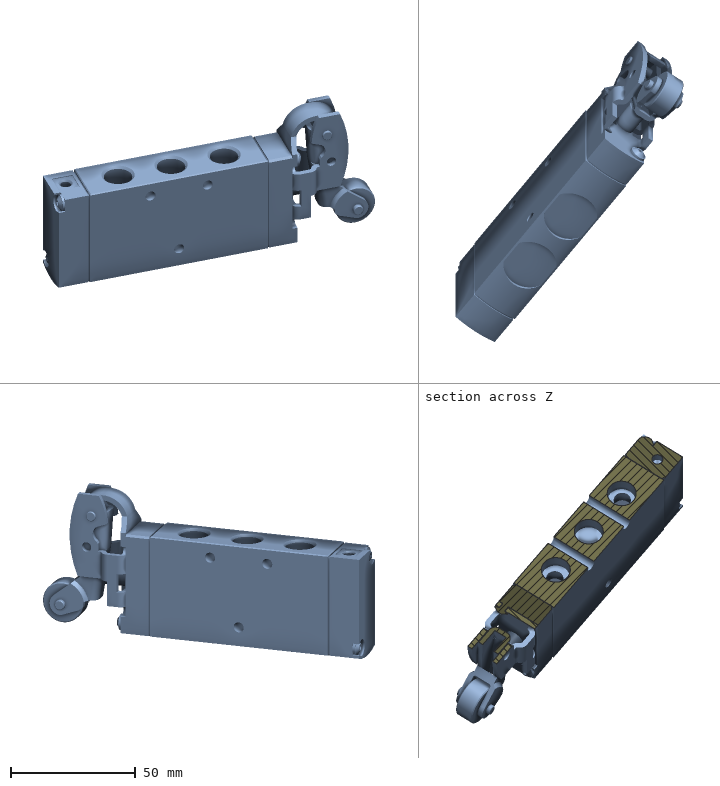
import cadquery as cq
import math


BODY_WIDTH = 20.0
BODY_TOP = 43.8
BODY_FRONT_Y = 20.4
BODY_BACK_Y = -54.8
BODY_CHAMFER = 0.4
CROWN_HEIGHT = 1.8
PORT_PITCH = 22.5
PORT_MIDDLE_Y = -17.1
PORT_DIAMETER = 11.4
PORT_RIM_DIAMETER = 13.3
PORT_DEPTH = 10.9
INNER_BORE_DIAMETER = 7.0
INNER_BORE_SHIFT = 0.5
INNER_BORE_DEPTH = 5.5
MOUNT_HOLE_DIAMETER = 4.2
MOUNT_HOLE_PITCH = 24.2
UPPER_MOUNT_Z = 37.7
LOWER_MOUNT_Z = 9.7
SPOTFACE_DIAMETER = 21.2
SPOTFACE_PITCH = 27.5
SPOTFACE_Z = 1.5

CAP_WIDTH = 19.5
CAP_TOP = 43.4
CAP_GAP = 0.7
NECK_INSET = 0.5
FRONT_CAP_Y = 30.9
FRONT_CAP_CHAMFER = 0.8
END_CAP_Y = -68.0
SCREW_X = 6.4
UPPER_SCREW_Z = 40.1
LOWER_SCREW_Z = 5.5
SCREW_PLACES = [(SCREW_X, UPPER_SCREW_Z), (-SCREW_X, LOWER_SCREW_Z)]
SCREW_RECESS_DIAMETER = 7.0
SCREW_RECESS_DEPTH = 2.7
RECESS_OPENING = 4.9
LABEL_SIZE = 8.7
LABEL_DEPTH = 0.3
LABEL_X = -2.0
LABEL_Y = -61.1
PILOT_DIAMETER = 4.2
PILOT_RIM_DIAMETER = 5.6
PILOT_DEPTH = 8.2

FLANGE_DIAMETER = 6.8
FLANGE_HEIGHT = 1.0
HEAD_DIAMETER = 6.0
HEAD_TIP_DIAMETER = 3.1
HEAD_HEIGHT = 1.2
SOCKET_WIDTH = 2.0
SOCKET_DEPTH = 1.1
SHANK_DIAMETER = 4.1
SHANK_LENGTH = 4.4

PLUNGER_DIAMETER = 8.0
PLUNGER_Z = 22.7
PLUNGER_END_Y = 42.3

SHEET = 2.2
PLATE_FRONT_Y = FRONT_CAP_Y + SHEET
FLARE_BOTTOM_Z = 44.1
FLARE_TOP_Z = 49.5
LEG_X = BODY_WIDTH / 2
LEG_BOTTOM_Z = 12.7
LEG_TOP_Z = 34.3
LEG_BEND = 3.3
JOGGLE_START_Y = 38.6
JOGGLE_END_Y = 42.9
CHEEK_X = 7.2
CHEEK_BOTTOM_Z = 23.0
CHEEK_TOP_Z = 57.7
CHEEK_FRONT_ARC = [(52.1, CHEEK_BOTTOM_Z), (55.5, 41.4), (52.0, CHEEK_TOP_Z)]
CHEEK_BACK_ARC = [(43.1, CHEEK_TOP_Z), (41.1, 53.1), (40.1, 48.5)]
CHEEK_BACK_CORNER = (39.9, 46.1)
CHEEK_NOTCH_ARC = [(44.1, 44.5), (45.7, 41.5), (44.1, 38.4)]
CHEEK_SHOULDER_Y = 43.5
CHEEK_SHOULDER_Z = 37.4
CHEEK_HOLE_DIAMETER = 4.0
CHEEK_HOLE_Y = 48.3
CHEEK_HOLE_Z = 35.7
RELIEF_DIAMETER = 4.0
RELIEF_X = 8.2
WINDOW_HEIGHT = 7.6
WINDOW_FRONT_Y = 34.5
WINDOW_INNER_X = PLUNGER_DIAMETER / 2
STRAP_TOP_Z = 57.4
STRAP_FLAT_BACK_Y = 42.0
STRAP_FLAT_FRONT_Y = 44.1
STRAP_FRONT_RADIUS = 9.8
STRAP_BACK_RADIUS = 10.5
STRAP_LEAN = 15.0
STRAP_LEAN_LENGTH = 1.6

PIN_DIAMETER = 4.1
PIN_LENGTH = 16.0
PIN_CHAMFER = 0.3
PIVOT_Y = 46.4
PIVOT_Z = 48.9
LEVER_WIDTH = 9.8
LEVER_BEND = 3.0
LEVER_OVERLAP = 0.4
LEVER_HEAD_RADIUS = 4.6
LEVER_BACK_BOTTOM = (44.6, 12.5)
LEVER_BACK_KINK = (41.2, 34.0)
LEVER_BACK_TOP = (40.1, 50.2)
ARM_X = 6.4
ARM_TIP_RADIUS = 4.6
ARM_HEEL = [(52.0, 8.3), (50.2, 9.7), (50.0, 12.0)]
ARM_DISH_RADIUS = 10.1
ARM_RIM_RADIUS = 11.4
LEVER_REACH = 54.5
LEVER_FRONT_TOP = (51.9, 22.0)
LEVER_FRONT_BOTTOM = (62.6, 13.6)
BRIDGE_END_Y = 55.0
BRIDGE_THICKNESS = 1.1
ROLLER_DIAMETER = 16.9
ROLLER_WIDTH = 7.9
ROLLER_Y = 59.6
ROLLER_Z = 10.1
ROLLER_CHAMFER = 0.4


def crowned_prism(width, top_z, back_y, front_y, inset=0.0):
    """A block along Y with a flat top, flat sides and a crowned underside."""
    half = width / 2 - inset
    outline = (
        cq.Workplane("XZ", origin=(0, front_y, 0))
        .moveTo(-half, top_z - inset)
        .lineTo(-half, CROWN_HEIGHT + inset)
        .threePointArc((0, inset), (half, CROWN_HEIGHT + inset))
        .lineTo(half, top_z - inset)
        .close()
    )
    return outline.extrude(front_y - back_y)


def rod_y(x, z, start_y, end_y, diameter):
    """A round bar along Y."""
    return (
        cq.Workplane("XZ", origin=(x, start_y, z))
        .circle(diameter / 2)
        .extrude(start_y - end_y)
    )


def bar_x(y, z, length, diameter):
    """A round bar along X, centred on the middle plane."""
    return (
        cq.Workplane("YZ", origin=(-length / 2, y, z))
        .circle(diameter / 2)
        .extrude(length)
    )


def mirrored(shape):
    """The shape together with its copy across the middle plane."""
    return shape.union(shape.mirror("YZ"))


def port(y, top_z, x, diameter, rim_diameter, depth):
    """Cutter for a vertical port with a countersunk rim."""
    rim = (rim_diameter - diameter) / 2
    return (
        cq.Workplane("XZ", origin=(x, y, top_z))
        .lineTo(rim_diameter / 2, 0)
        .lineTo(diameter / 2, -rim)
        .lineTo(diameter / 2, -depth)
        .lineTo(0, -depth)
        .close()
        .revolve(360, (0, 0, 0), (0, 1, 0))
    )


def screw(x, z, seat_y, direction):
    """Flanged screw on a seat; direction is +1 when the head faces +Y, -1 when it faces -Y."""
    head_y = FLANGE_HEIGHT
    tip_y = head_y + HEAD_HEIGHT
    turned = (
        cq.Workplane("XY")
        .moveTo(0, -SHANK_LENGTH)
        .lineTo(SHANK_DIAMETER / 2, -SHANK_LENGTH)
        .lineTo(SHANK_DIAMETER / 2, 0)
        .lineTo(FLANGE_DIAMETER / 2, 0)
        .lineTo(FLANGE_DIAMETER / 2, head_y)
        .lineTo(HEAD_DIAMETER / 2, head_y)
        .lineTo(HEAD_TIP_DIAMETER / 2, tip_y)
        .lineTo(0, tip_y)
        .close()
        .revolve(360, (0, 0, 0), (0, 1, 0))
    )
    socket = cq.Workplane("XZ", origin=(0, tip_y, 0)).polygon(6, SOCKET_WIDTH).extrude(SOCKET_DEPTH)
    finished = turned.cut(socket)
    if direction < 0:
        finished = finished.mirror("XZ")
    return finished.translate((x, seat_y, z))


def make_body():
    """Body with its three top ports, mounting holes and the two flats on the underside."""
    body = crowned_prism(BODY_WIDTH, BODY_TOP, BODY_BACK_Y, BODY_FRONT_Y)
    body = body.faces(">Z").chamfer(BODY_CHAMFER)
    for side in (-1, 0, 1):
        port_y = PORT_MIDDLE_Y + side * PORT_PITCH
        body = body.cut(port(port_y, BODY_TOP, 0, PORT_DIAMETER, PORT_RIM_DIAMETER, PORT_DEPTH))
        if side != 0:
            bore = (
                cq.Workplane("XY", origin=(0, port_y + side * INNER_BORE_SHIFT, BODY_TOP - PORT_DEPTH))
                .circle(INNER_BORE_DIAMETER / 2)
                .extrude(-INNER_BORE_DEPTH)
            )
            body = body.cut(bore)
    mount_places = [
        (PORT_MIDDLE_Y - MOUNT_HOLE_PITCH / 2, UPPER_MOUNT_Z),
        (PORT_MIDDLE_Y + MOUNT_HOLE_PITCH / 2, UPPER_MOUNT_Z),
        (PORT_MIDDLE_Y, LOWER_MOUNT_Z),
    ]
    for y, z in mount_places:
        body = body.cut(bar_x(y, z, BODY_WIDTH, MOUNT_HOLE_DIAMETER))
    for side in (-1, 1):
        spotface = (
            cq.Workplane("XY", origin=(0, PORT_MIDDLE_Y + side * SPOTFACE_PITCH / 2, 0))
            .circle(SPOTFACE_DIAMETER / 2)
            .extrude(SPOTFACE_Z)
        )
        body = body.cut(spotface)
    return body


def screw_recess(x, z, seat_y):
    """Cutter for a screw seat in the end cap, open to the side and, if near it, to the top."""
    side = math.copysign(1, x)
    recess = rod_y(x, z, END_CAP_Y, seat_y, SCREW_RECESS_DIAMETER)
    bottom_z = z - RECESS_OPENING / 2
    near_top = z + SCREW_RECESS_DIAMETER / 2 > CAP_TOP
    top_z = CAP_TOP if near_top else z + RECESS_OPENING / 2
    inner_x = x - side * RECESS_OPENING / 2
    opening = (
        cq.Workplane("XZ", origin=(0, END_CAP_Y, 0))
        .moveTo(inner_x, bottom_z)
        .lineTo(side * CAP_WIDTH / 2, bottom_z)
        .lineTo(side * CAP_WIDTH / 2, top_z)
        .lineTo(inner_x, top_z)
        .close()
        .extrude(-SCREW_RECESS_DEPTH)
    )
    return recess.union(opening)


def make_end_cap():
    """End cap with its pilot port and its two screws."""
    shoulder_y = BODY_BACK_Y - CAP_GAP
    cap = crowned_prism(CAP_WIDTH, CAP_TOP, END_CAP_Y, shoulder_y)
    cap = cap.union(crowned_prism(CAP_WIDTH, CAP_TOP, shoulder_y, BODY_BACK_Y, NECK_INSET))
    label = (
        cq.Workplane("XY", origin=(LABEL_X, LABEL_Y, CAP_TOP))
        .rect(LABEL_SIZE, LABEL_SIZE)
        .extrude(-LABEL_DEPTH)
    )
    label_z = CAP_TOP - LABEL_DEPTH
    pilot = port(LABEL_Y, label_z, LABEL_X, PILOT_DIAMETER, PILOT_RIM_DIAMETER, PILOT_DEPTH)
    cap = cap.cut(label).cut(pilot)
    seat_y = END_CAP_Y + SCREW_RECESS_DEPTH
    for x, z in SCREW_PLACES:
        cap = cap.cut(screw_recess(x, z, seat_y))
        cap = cap.union(screw(x, z, seat_y, -1))
    return cap


def make_front_cap():
    """Front cap with its two screws and the plunger."""
    shoulder_y = BODY_FRONT_Y + CAP_GAP
    cap = crowned_prism(CAP_WIDTH, CAP_TOP, shoulder_y, FRONT_CAP_Y)
    cap = cap.faces(">Z").edges("|Y").chamfer(FRONT_CAP_CHAMFER)
    cap = cap.union(crowned_prism(CAP_WIDTH, CAP_TOP, BODY_FRONT_Y, shoulder_y, NECK_INSET))
    for x, z in SCREW_PLACES:
        cap = cap.union(screw(x, z, PLATE_FRONT_Y, 1))
    return cap.union(rod_y(0, PLUNGER_Z, BODY_FRONT_Y, PLUNGER_END_Y, PLUNGER_DIAMETER))


def make_plate():
    """Base plate of the bracket, tapering at the top to the width of the strap."""
    half = CAP_WIDTH / 2
    strap_half = CHEEK_X - SHEET
    strap_front_y = STRAP_FLAT_FRONT_Y + STRAP_FRONT_RADIUS
    plate = crowned_prism(CAP_WIDTH, UPPER_SCREW_Z, FRONT_CAP_Y, PLATE_FRONT_Y)
    plate = plate.union(make_strap())
    flare = (
        cq.Workplane("XZ", origin=(0, strap_front_y, 0))
        .moveTo(-half, 0)
        .lineTo(-half, FLARE_BOTTOM_Z)
        .lineTo(-strap_half, FLARE_TOP_Z)
        .lineTo(-strap_half, STRAP_TOP_Z)
        .lineTo(strap_half, STRAP_TOP_Z)
        .lineTo(strap_half, FLARE_TOP_Z)
        .lineTo(half, FLARE_BOTTOM_Z)
        .lineTo(half, 0)
        .close()
        .extrude(strap_front_y - FRONT_CAP_Y)
    )
    plate = plate.intersect(flare)
    leg_gap = cq.Workplane("XY").box(
        LEG_BEND, SHEET, LEG_TOP_Z - LEG_BOTTOM_Z, centered=False
    )
    plate = plate.cut(mirrored(leg_gap.translate((LEG_X - LEG_BEND, FRONT_CAP_Y, LEG_BOTTOM_Z))))
    relief_centers = [LEG_BOTTOM_Z - RELIEF_DIAMETER / 2, LEG_TOP_Z + RELIEF_DIAMETER / 2]
    for z in relief_centers:
        round_end = rod_y(RELIEF_X, z, FRONT_CAP_Y, PLATE_FRONT_Y, RELIEF_DIAMETER)
        mouth = cq.Workplane("XY").box(
            RELIEF_DIAMETER, SHEET, RELIEF_DIAMETER, centered=(False, False, True)
        )
        plate = plate.cut(mirrored(round_end.union(mouth.translate((RELIEF_X, FRONT_CAP_Y, z)))))
    return plate


def make_strap():
    """Strap that leans forward from the plate, runs over the lever and curls down in front.

    The sheet follows one smooth line along its middle thickness, from the curl back to the plate.
    """
    top_z = STRAP_TOP_Z - SHEET / 2
    curl = STRAP_FRONT_RADIUS - SHEET / 2
    curl_end = (STRAP_FLAT_FRONT_Y + curl, top_z - curl)
    curl_middle = (
        STRAP_FLAT_FRONT_Y + curl * math.sqrt(0.5),
        top_z - curl + curl * math.sqrt(0.5),
    )
    lean = math.radians(STRAP_LEAN)
    back = STRAP_BACK_RADIUS - SHEET / 2
    lean_top = (
        STRAP_FLAT_BACK_Y - back * math.cos(lean),
        top_z - back * (1 - math.sin(lean)),
    )
    lean_bottom = (
        lean_top[0] - STRAP_LEAN_LENGTH * math.sin(lean),
        lean_top[1] - STRAP_LEAN_LENGTH * math.cos(lean),
    )
    plate_y = FRONT_CAP_Y + SHEET / 2
    lower_radius = (lean_bottom[0] - plate_y) / (1 - math.cos(lean))
    foot = (plate_y, lean_bottom[1] - lower_radius * math.sin(lean))
    path = (
        cq.Workplane("YZ")
        .moveTo(*curl_end)
        .threePointArc(curl_middle, (STRAP_FLAT_FRONT_Y, top_z))
        .lineTo(STRAP_FLAT_BACK_Y, top_z)
        .tangentArcPoint(lean_top, relative=False)
        .lineTo(*lean_bottom)
        .tangentArcPoint(foot, relative=False)
        .lineTo(plate_y, LEG_TOP_Z)
    )
    section = cq.Workplane("XY", origin=(0, *curl_end)).rect(CAP_WIDTH, SHEET)
    return section.sweep(path)


def make_leg():
    """Leg on the +X side: bent forward from the plate, with an S-bend in to the cheek."""
    corner_x = LEG_X - LEG_BEND
    corner_y = FRONT_CAP_Y + LEG_BEND
    inner_bend = LEG_BEND - SHEET
    diagonal = math.sqrt(0.5)
    bend = (
        cq.Workplane("XY", origin=(0, 0, LEG_BOTTOM_Z))
        .moveTo(corner_x, FRONT_CAP_Y)
        .threePointArc(
            (corner_x + diagonal * LEG_BEND, corner_y - diagonal * LEG_BEND), (LEG_X, corner_y)
        )
        .lineTo(LEG_X, JOGGLE_START_Y)
        .lineTo(LEG_X - SHEET, JOGGLE_START_Y)
        .lineTo(LEG_X - SHEET, corner_y)
        .threePointArc(
            (corner_x + diagonal * inner_bend, corner_y - diagonal * inner_bend),
            (corner_x, PLATE_FRONT_Y),
        )
        .close()
        .extrude(LEG_TOP_Z - LEG_BOTTOM_Z)
    )

    shift = LEG_X - CHEEK_X
    run = JOGGLE_END_Y - JOGGLE_START_Y
    turn = 2 * math.atan2(shift, run)
    radius = run / (2 * math.sin(turn))

    def first_arc(arc_radius, angle):
        center_x = LEG_X - SHEET / 2 - radius
        return (center_x + arc_radius * math.cos(angle), JOGGLE_START_Y + arc_radius * math.sin(angle))

    def second_arc(arc_radius, angle):
        center_x = CHEEK_X - SHEET / 2 + radius
        return (center_x - arc_radius * math.cos(angle), JOGGLE_END_Y - arc_radius * math.sin(angle))

    wide = radius + SHEET / 2
    tight = radius - SHEET / 2
    joggle = (
        cq.Workplane("XY", origin=(0, 0, CHEEK_BOTTOM_Z))
        .moveTo(*first_arc(wide, 0))
        .threePointArc(first_arc(wide, turn / 2), first_arc(wide, turn))
        .threePointArc(second_arc(tight, turn / 2), second_arc(tight, 0))
        .lineTo(*second_arc(wide, 0))
        .threePointArc(second_arc(wide, turn / 2), second_arc(wide, turn))
        .threePointArc(first_arc(tight, turn / 2), first_arc(tight, 0))
        .close()
        .extrude(LEG_TOP_Z - CHEEK_BOTTOM_Z)
    )
    return bend.union(joggle)


def make_cheek():
    """Cheek plate on the +X side that carries the pivot pin."""
    cheek = (
        cq.Workplane("YZ", origin=(CHEEK_X - SHEET, 0, 0))
        .moveTo(JOGGLE_END_Y, CHEEK_BOTTOM_Z)
        .lineTo(*CHEEK_FRONT_ARC[0])
        .threePointArc(*CHEEK_FRONT_ARC[1:])
        .lineTo(*CHEEK_BACK_ARC[0])
        .threePointArc(*CHEEK_BACK_ARC[1:])
        .lineTo(*CHEEK_BACK_CORNER)
        .lineTo(*CHEEK_NOTCH_ARC[0])
        .threePointArc(*CHEEK_NOTCH_ARC[1:])
        .lineTo(CHEEK_SHOULDER_Y, CHEEK_SHOULDER_Z)
        .lineTo(CHEEK_SHOULDER_Y, LEG_TOP_Z)
        .lineTo(JOGGLE_END_Y, LEG_TOP_Z)
        .close()
        .extrude(SHEET)
    )
    return cheek.cut(bar_x(CHEEK_HOLE_Y, CHEEK_HOLE_Z, BODY_WIDTH, CHEEK_HOLE_DIAMETER))


def make_bracket():
    """Sheet-metal bracket with the pivot pin riveted into its cheeks."""
    bracket = make_plate().union(mirrored(make_leg().union(make_cheek())))
    window_width = LEG_X - WINDOW_INNER_X
    window_depth = WINDOW_FRONT_Y - FRONT_CAP_Y
    window = cq.Workplane("XY").box(
        window_width, window_depth, WINDOW_HEIGHT, centered=(False, False, True)
    )
    bracket = bracket.cut(mirrored(window.translate((WINDOW_INNER_X, FRONT_CAP_Y, PLUNGER_Z))))
    for x, z in SCREW_PLACES:
        bracket = bracket.cut(rod_y(x, z, FRONT_CAP_Y, PLATE_FRONT_Y, SHANK_DIAMETER))
    bracket = bracket.cut(rod_y(0, PLUNGER_Z, FRONT_CAP_Y, PLATE_FRONT_Y, PLUNGER_DIAMETER))
    return bracket.union(make_pin(PIVOT_Y, PIVOT_Z))


def make_pin(y, z):
    """Round pin along X with chamfered ends."""
    return bar_x(y, z, PIN_LENGTH, PIN_DIAMETER).faces("<X or >X").chamfer(PIN_CHAMFER)


def lever_outline():
    """Side outline of the lever in front of its rounded back, as a solid block."""
    diagonal = math.sqrt(0.5)
    arm_tip = (ROLLER_Y + diagonal * ARM_TIP_RADIUS, ROLLER_Z - diagonal * ARM_TIP_RADIUS)
    back_edge = [(y + LEVER_BEND, z) for y, z in (LEVER_BACK_BOTTOM, LEVER_BACK_KINK, LEVER_BACK_TOP)]
    return (
        cq.Workplane("YZ")
        .polyline(back_edge)
        .lineTo(PIVOT_Y, PIVOT_Z + LEVER_HEAD_RADIUS)
        .threePointArc(
            (PIVOT_Y + diagonal * LEVER_HEAD_RADIUS, PIVOT_Z + diagonal * LEVER_HEAD_RADIUS),
            (PIVOT_Y + LEVER_HEAD_RADIUS, PIVOT_Z),
        )
        .lineTo(*LEVER_FRONT_TOP)
        .lineTo(*LEVER_FRONT_BOTTOM)
        .threePointArc(arm_tip, (ROLLER_Y, ROLLER_Z - ARM_TIP_RADIUS))
        .polyline(ARM_HEEL, includeCurrent=True)
        .close()
        .extrude(ARM_X, both=True)
    )


def make_lever_back(low, high):
    """One straight stretch of the web that closes the channel at the back, with its rounded bends."""
    depth = LEVER_BEND + LEVER_OVERLAP

    def back_block(start, width):
        return (
            cq.Workplane("YZ", origin=(-width / 2, 0, 0))
            .moveTo(low[0] + start, low[1])
            .lineTo(high[0] + start, high[1])
            .lineTo(high[0] + depth, high[1])
            .lineTo(low[0] + depth, low[1])
            .close()
            .extrude(width)
        )

    web = back_block(0, LEVER_WIDTH).faces("<Y").edges("not |X").fillet(LEVER_BEND)
    return web.cut(back_block(SHEET, LEVER_WIDTH - 2 * SHEET))


def make_lever_bridge():
    """Narrow strip that joins the two sides above the roller, flush with the front edge."""
    top_y, top_z = LEVER_FRONT_TOP
    bottom_y, bottom_z = LEVER_FRONT_BOTTOM
    end_z = top_z + (BRIDGE_END_Y - top_y) * (bottom_z - top_z) / (bottom_y - top_y)
    return (
        cq.Workplane("YZ", origin=(-LEVER_WIDTH / 2, 0, 0))
        .moveTo(top_y, top_z)
        .lineTo(BRIDGE_END_Y, end_z)
        .lineTo(BRIDGE_END_Y, end_z - BRIDGE_THICKNESS)
        .lineTo(top_y, top_z - BRIDGE_THICKNESS)
        .close()
        .extrude(LEVER_WIDTH)
    )


def make_lever():
    """Channel-shaped lever: closed at the back, with two arms spread around the roller."""
    half = LEVER_WIDTH / 2
    sheet = (
        cq.Workplane("XY")
        .moveTo(ARM_X, 0)
        .lineTo(ARM_X, ARM_DISH_RADIUS)
        .lineTo(half, ARM_RIM_RADIUS)
        .lineTo(half, LEVER_REACH)
        .lineTo(half - SHEET, LEVER_REACH)
        .lineTo(half - SHEET, ARM_RIM_RADIUS)
        .lineTo(ARM_X - SHEET, ARM_DISH_RADIUS)
        .lineTo(ARM_X - SHEET, 0)
        .close()
        .revolve(360, (0, 0, 0), (1, 0, 0))
        .translate((0, ROLLER_Y, ROLLER_Z))
    )
    lever = mirrored(sheet.intersect(lever_outline()))
    lever = lever.union(make_lever_back(LEVER_BACK_BOTTOM, LEVER_BACK_KINK))
    lever = lever.union(make_lever_back(LEVER_BACK_KINK, LEVER_BACK_TOP))
    lever = lever.union(make_lever_bridge())
    lever = lever.cut(bar_x(PIVOT_Y, PIVOT_Z, LEVER_WIDTH, PIN_DIAMETER))
    return lever.union(make_pin(ROLLER_Y, ROLLER_Z))


def make_roller():
    """Roller with chamfered rims and a bore for its pin."""
    roller = bar_x(ROLLER_Y, ROLLER_Z, ROLLER_WIDTH, ROLLER_DIAMETER)
    roller = roller.faces("<X or >X").chamfer(ROLLER_CHAMFER)
    return roller.cut(bar_x(ROLLER_Y, ROLLER_Z, ROLLER_WIDTH, PIN_DIAMETER))


body = make_body()
end_cap = make_end_cap()
front_cap = make_front_cap()
bracket = make_bracket()
lever = make_lever()
roller = make_roller()

bodies = [body, end_cap, front_cap, bracket, lever, roller]
result = cq.Compound.makeCompound([one_body.solids().val() for one_body in bodies])